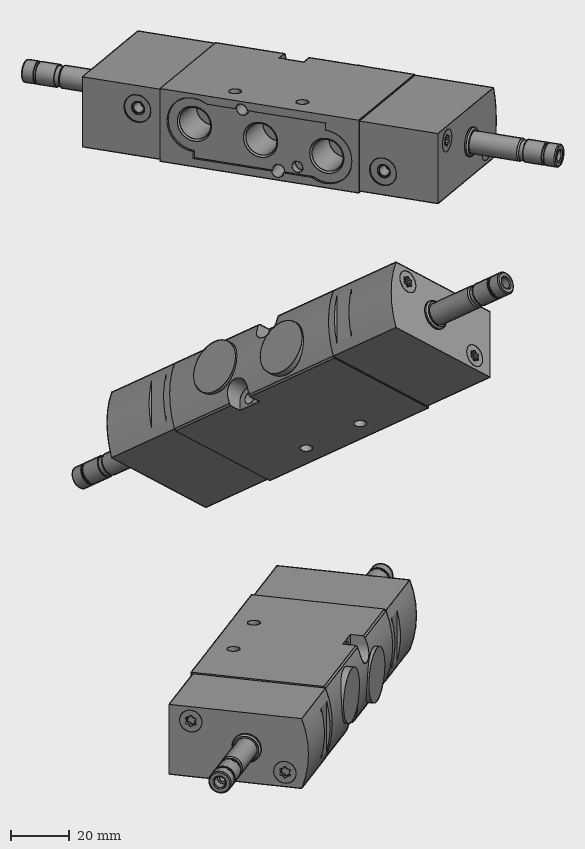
import cadquery as cq
import math

total_length = 198.2
total_depth = 50.5

body_length = 73.7
body_height = 26.5
port_boss_height = 0.5
body_back = total_depth - port_boss_height
back_arch_edge = 47.5
body_back_bevel = 0.5

port_pitch = 24.5
port_rise = 2.0
port_bore = 11.5
port_mouth = 12.7
port_depth = 15.9
port_chamfer = (port_mouth - port_bore) / 2
recess_depth = 1.0
recess_radius = 9.7
recess_half_height = 10.3
locating_hole = 4
locating_hole_depth = 4
locating_hole_x = 13.7
locating_hole_z = -7.7

vertical_hole = 4.4
vertical_hole_x = 12.5
vertical_hole_y = 8.0
cross_hole = 4.4
cross_hole_x = -6.7
cross_hole_z = 10.1
cross_slot = 9.1
cross_slot_floor = 42.5

boss_diameter = 19.5
boss_x = 15.5
boss_z = 2.2

cap_outer_x = 66.0
cap_inset = 0.5
cap_height = 25.5
cap_length = cap_outer_x - body_length / 2
groove_start = 39.6
groove_end = 46.4
groove_depth = 1.2

override_x = 45.5
override_z = 4.4
override_recess = 10
override_recess_depth = 0.5
override_mouth = 4.8
override_mouth_depth = 0.5
override_bore = 3.8
override_depth = 6

stem_y = 28.1
stem_diameter = 8
stem_length = total_length / 2 - cap_outer_x
stem_tip_chamfer = 0.4
stem_bore = 4
stem_bore_depth = 4
stem_bore_mouth = 4.8
stem_pilot = 2.4
stem_pilot_depth = 8
collar_diameter = 10.3
collar_length = 1.2
collar_chamfer = 0.5
stem_groove_diameter = 7.1
plain_groove_start = 4.4
plain_groove_width = 0.8
ramped_groove_start = 12.0
ramped_groove_width = 1.5
groove_ramp = 0.5

screw_diameter = 8
screw_length = 5.0
screw_places = [(41.6, 7.5), (8.3, -7.5)]
socket_core = 3.2
socket_lobe = 0.9
socket_depth = 2
lobe_count = 6


def rod_y(diameter, x, z, y_start, y_end):
    """Cylinder along Y between two depths."""
    return cq.Workplane(cq.Solid.makeCylinder(
        diameter / 2, y_end - y_start, cq.Vector(x, y_start, z), cq.Vector(0, 1, 0)))


def rod_x(diameter, y, z, x_start, length):
    """Cylinder along +X from x_start."""
    return cq.Workplane(cq.Solid.makeCylinder(
        diameter / 2, length, cq.Vector(x_start, y, z), cq.Vector(1, 0, 0)))


def cone_x(start_diameter, end_diameter, y, z, x_start, length):
    """Cone frustum along +X from x_start."""
    return cq.Workplane(cq.Solid.makeCone(
        start_diameter / 2, end_diameter / 2, length, cq.Vector(x_start, y, z), cq.Vector(1, 0, 0)))


def half_turn(shape):
    """Copy of the shape turned 180 degrees about the Y axis."""
    return shape.rotate((0, 0, 0), (0, 1, 0), 180)


def arched_block(x_start, length, front, height, bevel):
    """Block along +X with a flat front and an arched back that starts from a bevel."""
    half = height / 2
    outline = (
        cq.Workplane("YZ", origin=(x_start, 0, 0))
        .moveTo(front, -half)
        .lineTo(back_arch_edge - bevel, -half)
    )
    if bevel > 0:
        outline = outline.lineTo(back_arch_edge, bevel - half)
    outline = outline.threePointArc((body_back, 0), (back_arch_edge, half - bevel))
    if bevel > 0:
        outline = outline.lineTo(back_arch_edge - bevel, half)
    return outline.lineTo(front, half).close().extrude(length)


def front_recess():
    """Shallow recess whose ends wrap round the two outer ports."""
    flat_reach = math.sqrt(recess_radius**2 - (recess_half_height - port_rise)**2)
    top = recess_half_height
    arc_end = port_pitch - flat_reach
    outer_end = port_pitch + recess_radius
    step = recess_radius - port_rise
    return (
        cq.Workplane("XZ")
        .moveTo(-arc_end, top)
        .lineTo(port_pitch, top)
        .lineTo(port_pitch, step)
        .threePointArc((outer_end, -port_rise), (arc_end, -top))
        .lineTo(-port_pitch, -top)
        .lineTo(-port_pitch, -step)
        .threePointArc((-outer_end, port_rise), (-arc_end, top))
        .close()
        .extrude(-recess_depth)
    )


def port_cutter(x, z):
    """Blind port bore with a chamfered mouth, starting at the recess floor."""
    bore = rod_y(port_bore, x, z, recess_depth, port_depth)
    mouth = cq.Workplane(cq.Solid.makeCone(
        port_mouth / 2, port_bore / 2, port_chamfer, cq.Vector(x, recess_depth, z), cq.Vector(0, 1, 0)))
    return bore.union(mouth)


def cross_hole_cutter():
    """Hole along Y with a round-bottomed slot at the back that opens through the top face."""
    hole = rod_y(cross_hole, cross_hole_x, cross_hole_z, 0, total_depth)
    slot_bottom = rod_y(cross_slot, cross_hole_x, cross_hole_z, cross_slot_floor, total_depth)
    slot_walls = cq.Workplane("XY").box(
        cross_slot, total_depth - cross_slot_floor, body_height / 2 - cross_hole_z,
        centered=(True, False, False))
    slot_walls = slot_walls.translate((cross_hole_x, cross_slot_floor, cross_hole_z))
    return hole.union(slot_bottom).union(slot_walls)


def make_body():
    """Middle block with its ports, mounting holes and back bosses."""
    body = arched_block(-body_length / 2, body_length, 0, body_height, body_back_bevel)
    for side in (-1, 1):
        body = body.union(rod_y(boss_diameter, side * boss_x, side * boss_z, back_arch_edge, total_depth))

    body = body.cut(front_recess())
    for side in (-1, 0, 1):
        body = body.cut(port_cutter(side * port_pitch, -side * port_rise))
    body = body.cut(rod_y(locating_hole, locating_hole_x, locating_hole_z, 0, locating_hole_depth))

    for side in (-1, 1):
        body = body.cut(
            cq.Workplane("XY", origin=(side * vertical_hole_x, vertical_hole_y, -body_height / 2))
            .circle(vertical_hole / 2)
            .extrude(body_height)
        )

    for cutter in (cross_hole_cutter(), half_turn(cross_hole_cutter())):
        body = body.cut(cutter)
    return body


def stem_ring(x_start, width):
    """Ring that cuts a square groove round the stem."""
    ring = rod_x(stem_diameter, stem_y, 0, x_start, width)
    return ring.cut(rod_x(stem_groove_diameter, stem_y, 0, x_start, width))


def make_stem():
    """Left stem with its collar, grooves and stepped blind tip bore."""
    tip = -total_length / 2
    stem = rod_x(stem_diameter, stem_y, 0, tip, stem_length).faces("<X").chamfer(stem_tip_chamfer)
    collar = rod_x(collar_diameter, stem_y, 0, -cap_outer_x - collar_length, collar_length)
    stem = stem.union(collar.faces("<X").chamfer(collar_chamfer))
    stem = stem.cut(stem_ring(tip + plain_groove_start, plain_groove_width))
    ramp_start = tip + ramped_groove_start + ramped_groove_width
    ramp = rod_x(stem_diameter, stem_y, 0, ramp_start, groove_ramp)
    ramp = ramp.cut(cone_x(stem_groove_diameter, stem_diameter, stem_y, 0, ramp_start, groove_ramp))
    stem = stem.cut(stem_ring(tip + ramped_groove_start, ramped_groove_width)).cut(ramp)

    countersink_depth = (stem_bore_mouth - stem_bore) / 2
    countersink = cone_x(stem_bore_mouth, stem_bore, stem_y, 0, tip, countersink_depth)
    bore = rod_x(stem_bore, stem_y, 0, tip, stem_bore_depth)
    pilot = rod_x(stem_pilot, stem_y, 0, tip, stem_pilot_depth)
    return stem.cut(countersink).cut(bore).cut(pilot)


def make_left_cap():
    """Left end cap in one piece with its stem."""
    cap = arched_block(-cap_outer_x, cap_length, cap_inset, cap_height, 0)
    groove = cq.Workplane("XY").box(
        groove_end - groove_start, total_depth, cap_height, centered=(False, False, True))
    cap = cap.cut(groove.translate((-groove_end, body_back - groove_depth, 0)))

    override_floor = cap_inset + override_recess_depth
    override_steps = [
        (override_recess, override_floor),
        (override_mouth, override_floor + override_mouth_depth),
        (override_bore, override_floor + override_depth),
    ]
    for diameter, end in override_steps:
        cap = cap.cut(rod_y(diameter, -override_x, override_z, cap_inset, end))

    for y, z in screw_places:
        cap = cap.cut(rod_x(screw_diameter, y, z, -cap_outer_x, screw_length))
    return cap.union(make_stem())


def make_left_screw(y, z):
    """Flush screw with a six-lobed socket."""
    screw = rod_x(screw_diameter, y, z, -cap_outer_x, screw_length)
    screw = screw.cut(rod_x(socket_core, y, z, -cap_outer_x, socket_depth))
    for index in range(lobe_count):
        angle = 2 * math.pi * index / lobe_count
        lobe_y = y + socket_core / 2 * math.sin(angle)
        lobe_z = z + socket_core / 2 * math.cos(angle)
        screw = screw.cut(rod_x(socket_lobe, lobe_y, lobe_z, -cap_outer_x, socket_depth))
    return screw


body = make_body()
left_cap = make_left_cap()
caps = [left_cap, half_turn(left_cap)]

screws = []
for place in screw_places:
    left_screw = make_left_screw(*place)
    screws += [left_screw, half_turn(left_screw)]

result = cq.Compound.makeCompound([part.val() for part in [body, *caps, *screws]])